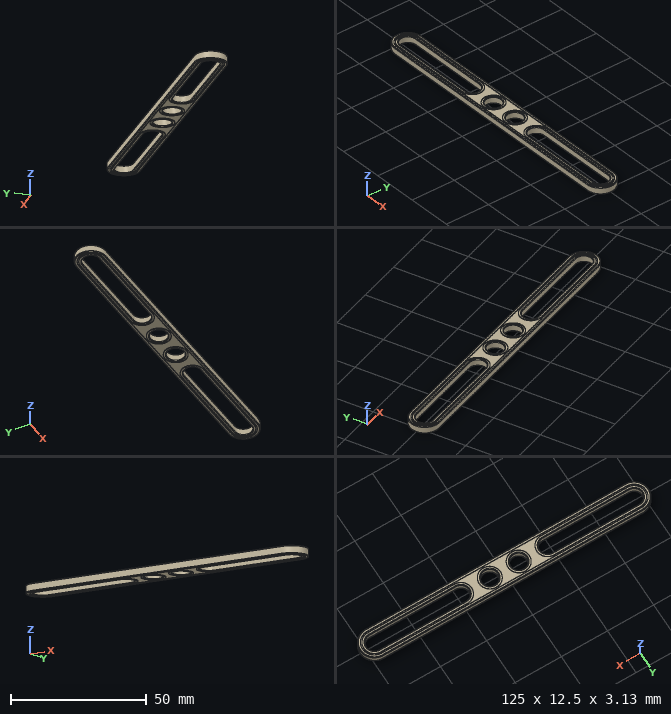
import cadquery as cq

UNIT = 12.5
LENGTH_UNITS = 10
SLOT_UNITS = 4
THICKNESS = UNIT / 4
HOLE_DIAMETER = 7.0
RIM_DIAMETER = 9.2
EDGE_CHAMFER = 0.3
RECESS_DEPTH = 0.2

LENGTH = UNIT * LENGTH_UNITS
STRIP_SPAN = LENGTH - UNIT
RIM_WIDTH = (RIM_DIAMETER - HOLE_DIAMETER) / 2
RECESS_WIDTH = UNIT - 2 * RIM_WIDTH
SLOT_SPAN = UNIT * (SLOT_UNITS - 1)
SLOT_X = (STRIP_SPAN - SLOT_SPAN) / 2
HOLE_X = UNIT / 2

OPENINGS = [(-SLOT_X, SLOT_SPAN), (-HOLE_X, 0), (HOLE_X, 0), (SLOT_X, SLOT_SPAN)]


def rounded_bar(x, span, width, height):
    """Flat bar centred on z = 0 with round ends `span` apart; a disc when the span is zero."""
    plane = cq.Workplane("XY").center(x, 0)
    outline = plane.slot2D(span + width, width) if span else plane.circle(width / 2)
    return outline.extrude(height / 2, both=True)


def perforated_strip():
    """Round-ended strip with its holes and slots, all edges of both faces chamfered."""
    strip = rounded_bar(0, STRIP_SPAN, UNIT, THICKNESS)
    for x, span in OPENINGS:
        strip = strip.cut(rounded_bar(x, span, HOLE_DIAMETER, THICKNESS))
    return strip.faces("|Z").edges().chamfer(EDGE_CHAMFER)


def top_recess():
    """Shallow pocket in the top face that leaves a rim along the outline and each opening."""
    pocket = rounded_bar(0, STRIP_SPAN, RECESS_WIDTH, RECESS_DEPTH)
    for x, span in OPENINGS:
        pocket = pocket.cut(rounded_bar(x, span, RIM_DIAMETER, RECESS_DEPTH))
    return pocket.translate((0, 0, (THICKNESS - RECESS_DEPTH) / 2))


recess = top_recess()
result = perforated_strip().cut(recess).cut(recess.mirror("XY"))